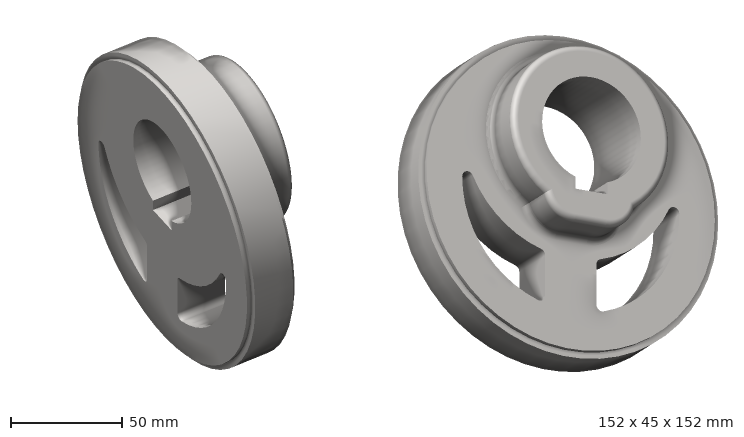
import cadquery as cq

RIM_RADIUS = 76.0
FACE_RADIUS = 73.0
DISC_THICKNESS = 25.0
FACE_STEP = 2.5

BORE_OFFSET = 25.0
BORE_RADIUS = 25.0
KEYWAY_WIDTH = 16.0
KEYWAY_DEPTH = 4.3

HUB_WALL = 15.0
HUB_HEIGHT = 20.0
HUB_EDGE_RADIUS = 3.0
HUB_ROOT_RADIUS = 3.0

WINDOW_OUTER_RADIUS = 55.0
WINDOW_INNER_RADIUS = 55.0
WEB_WIDTH = 26.0
WINDOW_CORNER_RADIUS = 2.8

TOTAL_DEPTH = DISC_THICKNESS + HUB_HEIGHT


def plane_at(y):
    """Plane normal to +Y at the given depth, with local x = -X and local y = Z."""
    return cq.Workplane("XZ", origin=(0, y, 0)).transformed(rotate=(0, 180, 0))


def cylinder(radius, start, length, height=0.0):
    """Cylinder along +Y from start, with its axis at Z = height."""
    return plane_at(start).center(0, height).circle(radius).extrude(length)


def make_disc():
    """Disc with a slightly smaller diameter at both faces."""
    rim = cylinder(RIM_RADIUS, FACE_STEP, DISC_THICKNESS - 2 * FACE_STEP)
    return cylinder(FACE_RADIUS, 0, DISC_THICKNESS).union(rim)


def keyed_bore(start, length, wall=0.0):
    """Prism of the bore and keyway outline, grown outwards by wall with rounded corners."""
    key_height = BORE_RADIUS + KEYWAY_DEPTH
    round_part = cylinder(BORE_RADIUS + wall, start, length, BORE_OFFSET)
    key_outline = plane_at(start).center(0, BORE_OFFSET - key_height / 2).rect(KEYWAY_WIDTH, key_height)
    if wall:
        key_outline = key_outline.offset2D(wall, "arc")
    return round_part.union(key_outline.extrude(length))


def add_hub(disc):
    """Join the hub to the back of the disc, rounding its outer edge and its root."""
    hub = keyed_bore(DISC_THICKNESS, HUB_HEIGHT, HUB_WALL)
    hub = hub.faces(">Y").edges().fillet(HUB_EDGE_RADIUS)
    body = disc.union(hub)
    margin = HUB_ROOT_RADIUS / 2
    reach = FACE_RADIUS - margin
    root_zone = cq.selectors.BoxSelector(
        (-reach, DISC_THICKNESS - margin, -reach),
        (reach, DISC_THICKNESS + margin, reach),
        boundingbox=True,
    )
    return body.edges(root_zone).fillet(HUB_ROOT_RADIUS)


def make_windows():
    """Two mirrored crescent prisms, split by the central web."""
    crescent = cylinder(WINDOW_OUTER_RADIUS, 0, DISC_THICKNESS)
    crescent = crescent.cut(cylinder(WINDOW_INNER_RADIUS, 0, DISC_THICKNESS, BORE_OFFSET))
    web = cq.Workplane("XY").box(WEB_WIDTH, 2 * DISC_THICKNESS, 2 * RIM_RADIUS)
    return crescent.cut(web).edges("|Y").fillet(WINDOW_CORNER_RADIUS)


result = add_hub(make_disc())
result = result.cut(keyed_bore(0, TOTAL_DEPTH))
result = result.cut(make_windows())